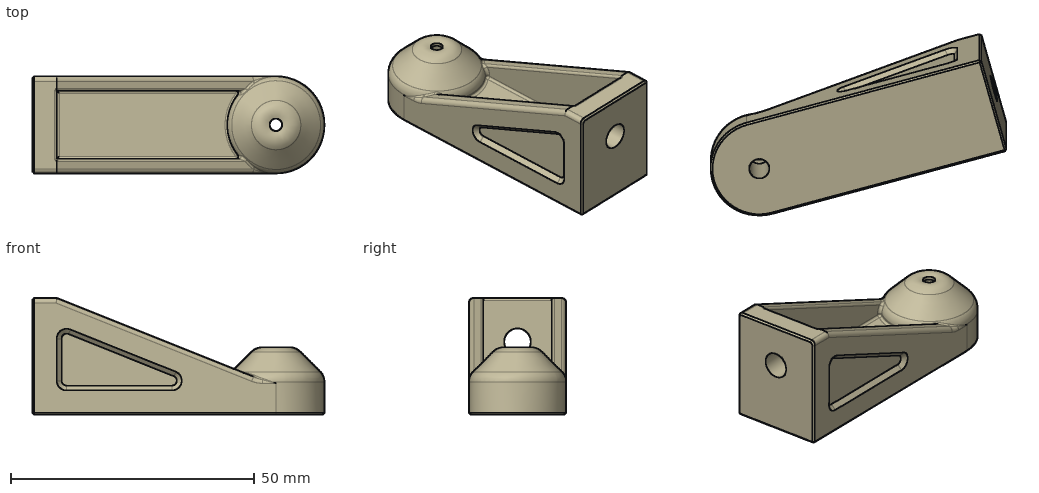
import cadquery as cq
import math

length = 60.0
width = 20.0
height = 24.0
half_width = width / 2
boss_radius = half_width
boss_x = length - boss_radius
chamfer_size = 0.4

crest_length = 5.0
ramp_slope = 0.4
ledge_z = 7.5
ramp_end_x = crest_length + (height - ledge_z) / ramp_slope
ramp_end_round = 5.0
rail_round = 1.0

shoulder_z = 8.0
shoulder_round = 3.0
cone_angle = 45.0
crown_diameter = 10.15
top_hole_z = 13.6
top_hole_diameter = 2.5
bore_diameter = 4.1
bore_roof_z = 12.9

end_wall = crest_length
rail_width = 3.0
pocket_floor_z = 6.0
blend_radius = 0.5

end_hole_diameter = 5.4
end_hole_z = 15.0

recess_margin = 5.0
recess_depth = 1.0
recess_corner_round = 2.0
recess_wall_angle = 45.0

tolerance = 1e-3


def make_wedge():
    """Wedge with a level ledge, rounded along its outer top edges."""
    wedge = (
        cq.Workplane("XZ")
        .moveTo(0, 0)
        .lineTo(boss_x, 0)
        .lineTo(boss_x, ledge_z)
        .lineTo(ramp_end_x, ledge_z)
        .lineTo(crest_length, height)
        .lineTo(0, height)
        .close()
        .extrude(half_width, both=True)
    )
    ramp_foot = cq.NearestToPointSelector((ramp_end_x, 0, ledge_z))
    wedge = wedge.edges(ramp_foot).fillet(ramp_end_round)

    def is_rail_top(edge):
        middle = edge.Center()
        return middle.z > ledge_z - tolerance and 0 < middle.x < boss_x - tolerance

    rail_tops = wedge.faces("<Y or >Y").edges().filter(is_rail_top).vals()
    return wedge.newObject(rail_tops).fillet(rail_round)


def make_pocket():
    """Box that hollows the wedge from above, as far as the boss axis."""
    return cq.Workplane("XY", origin=(end_wall, 0, pocket_floor_z)).box(
        boss_x - end_wall, width - 2 * rail_width, height, centered=(False, True, False)
    )


def make_boss():
    """Cylinder, rounded shoulder, cone and rolled-in crown, revolved about the boss axis."""
    cone_slope = math.tan(math.radians(cone_angle))
    tangent_length = shoulder_round * math.tan(math.radians(cone_angle / 2))
    shoulder_run = tangent_length * math.cos(math.radians(cone_angle))
    shoulder_rise = tangent_length * math.sin(math.radians(cone_angle))
    crown_radius = crown_diameter / 2
    crown_z = shoulder_z + (boss_radius - crown_radius) * cone_slope
    return (
        cq.Workplane("XZ", origin=(boss_x, 0, 0))
        .moveTo(0, 0)
        .lineTo(boss_radius, 0)
        .lineTo(boss_radius, shoulder_z - tangent_length)
        .tangentArcPoint((boss_radius - shoulder_run, shoulder_z + shoulder_rise), relative=False)
        .lineTo(crown_radius, crown_z)
        .tangentArcPoint((top_hole_diameter / 2, top_hole_z), relative=False)
        .lineTo(0, top_hole_z)
        .close()
        .revolve(360, (0, 0, 0), (0, 1, 0))
    )


def lies_on(shape, edge):
    """True where the middle of the edge touches the surface of the shape."""
    middle = cq.Vertex.makeVertex(*edge.positionAt(0.5).toTuple())
    return shape.val().Shells()[0].distance(middle) < tolerance


def join_and_blend(wedge, pocket, boss):
    """Hollow the wedge, add the boss and blend the pocket edges and the seam around the boss."""
    hollow = wedge.cut(pocket)
    joined = hollow.union(boss)

    def is_pocket_edge(edge):
        is_vertical = edge.BoundingBox().xlen + edge.BoundingBox().ylen < tolerance
        return lies_on(pocket, edge) and not is_vertical

    def is_boss_seam(edge):
        before_tangent = edge.Center().x < boss_x - rail_round
        return before_tangent and lies_on(boss, edge) and lies_on(hollow, edge)

    blended = joined.edges().filter(lambda edge: is_pocket_edge(edge) or is_boss_seam(edge)).vals()
    return joined.newObject(blended).fillet(blend_radius)


def make_recess():
    """Cutter for the recess in the -Y side, its outline set in evenly from base, crest and ramp."""
    ramp_drop = recess_margin * math.sqrt(1 + ramp_slope**2)
    top_z = height - ramp_drop
    tip_x = crest_length + (top_z - recess_margin) / ramp_slope
    outline = (
        cq.Sketch()
        .polygon(
            [
                (crest_length, recess_margin),
                (tip_x, recess_margin),
                (crest_length, top_z),
                (crest_length, recess_margin),
            ]
        )
        .vertices()
        .fillet(recess_corner_round)
    )
    return (
        cq.Workplane("XZ", origin=(0, -half_width, 0))
        .placeSketch(outline)
        .extrude(-recess_depth, taper=recess_wall_angle)
    )


def upright_cylinder(diameter, depth):
    """Cutter on the boss axis, rising from the base."""
    return cq.Workplane("XY", origin=(boss_x, 0, 0)).circle(diameter / 2).extrude(depth)


def make_end_hole():
    return cq.Workplane("YZ", origin=(0, 0, end_hole_z)).circle(end_hole_diameter / 2).extrude(end_wall)


def chamfer_end_and_base(part):
    """Chamfer the outlines of the upright end face and of the base."""
    outlines = part.faces("<X or <Z").objects
    edges = [edge for face in outlines for edge in face.outerWire().Edges()]
    return part.newObject(edges).chamfer(chamfer_size)


result = join_and_blend(make_wedge(), make_pocket(), make_boss())
result = chamfer_end_and_base(result)

recess = make_recess()
result = result.cut(recess).cut(recess.mirror("XZ"))
result = result.cut(make_end_hole())
result = result.cut(upright_cylinder(top_hole_diameter, height))
result = result.cut(upright_cylinder(bore_diameter, bore_roof_z))